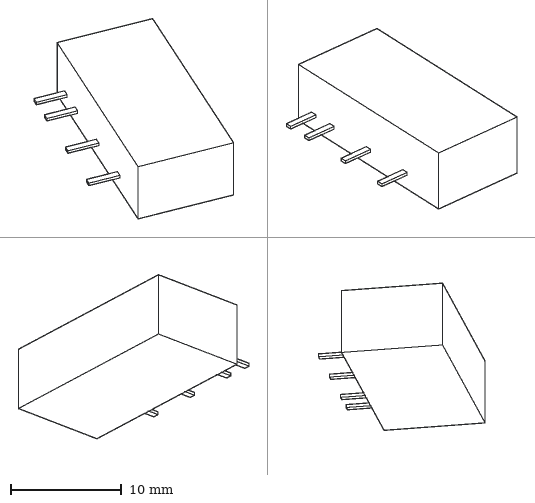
import cadquery as cq

body_length = 19.5
body_depth = 9.3
body_height = 6.0

pin_length = 3.0
pin_width = 0.6
pin_thickness = 0.3
pin_pitch = 2.54
pin_center_height = 1.65
pin_slots = (-3, -2, 0, 2)


def make_body():
    """Plain block with its -Y face at Y = 0 and its base at Z = 0."""
    return cq.Workplane("XY").box(body_length, body_depth, body_height, centered=(True, False, False))


def make_pin(slot):
    """Pin projecting from the -Y face at one pitch position."""
    return (
        cq.Workplane("XZ")
        .center(slot * pin_pitch, pin_center_height)
        .rect(pin_width, pin_thickness)
        .extrude(pin_length)
    )


result = make_body()
for slot in pin_slots:
    result = result.union(make_pin(slot))